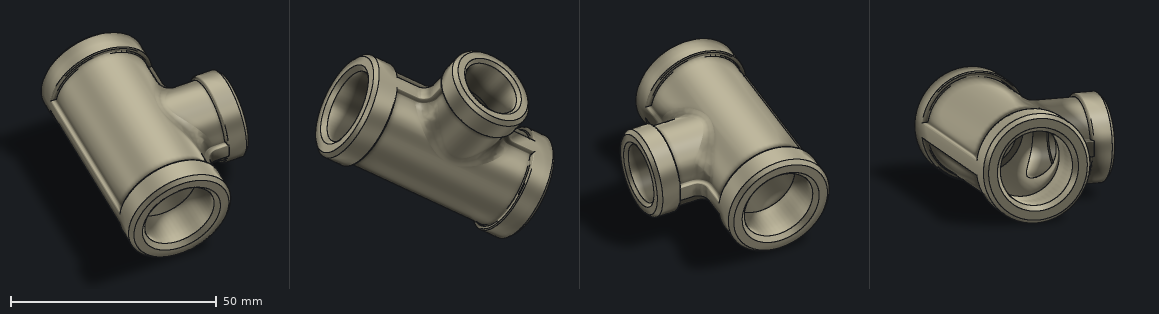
import cadquery as cq
RUN_LENGTH = 53.0
RUN_HALF = RUN_LENGTH / 2
BRANCH_END = 25.5

RUN_COLLAR_DIA = 27.5
RUN_BODY_DIA = 25.0
BRANCH_COLLAR_DIA = 22.5
BRANCH_BODY_DIA = 20.5

RUN_COLLAR_LENGTH = 6.5
BRANCH_COLLAR_LENGTH = 6.0
COLLAR_CHAMFER = 1.0
RUN_COLLAR_INNER = RUN_HALF - RUN_COLLAR_LENGTH
BRANCH_COLLAR_INNER = BRANCH_END - BRANCH_COLLAR_LENGTH

RIB_THICKNESS = 4.0
RIB_HEIGHT = (RUN_COLLAR_DIA - RUN_BODY_DIA) / 2

JUNCTION_RADIUS = 4.0
EDGE_RADIUS = 0.3
ROOT_RADIUS = 0.3
TOUCH_TOLERANCE = 0.001

RUN_MOUTH_DIA = 18.63
RUN_COUNTERSINK_DIA = 20.95
RUN_CHAMBER_DIA = 21.8
BRANCH_MOUTH_DIA = 14.95
BRANCH_COUNTERSINK_DIA = 16.66
BRANCH_CHAMBER_DIA = 17.3
MOUTH_DEPTH = 11.0


def along_x(shape):
    """Turn a shape built along +Z so that it points along +X."""
    return shape.rotate((0, 0, 0), (0, 1, 0), 90)


def along_y(shape):
    """Turn a shape built along +Z so that it points along +Y."""
    return shape.rotate((0, 0, 0), (1, 0, 0), -90)


def cylinder(diameter, length):
    """Cylinder from the origin along +Z."""
    return cq.Workplane("XY").circle(diameter / 2).extrude(length)


def blended_tee(rise, end_overlap):
    """Body outline raised by rise: two crossing cylinders with a rounded junction.

    The ends reach end_overlap past the inner faces of the collars.
    """
    run_dia = RUN_BODY_DIA + 2 * rise
    branch_dia = BRANCH_BODY_DIA + 2 * rise
    run_end = RUN_COLLAR_INNER + end_overlap
    run = along_x(cylinder(run_dia, 2 * run_end)).translate((-run_end, 0, 0))
    tee = run.union(along_y(cylinder(branch_dia, BRANCH_COLLAR_INNER + end_overlap)))
    junction_zone = cq.selectors.BoxSelector(
        (-branch_dia, 0, -run_dia), (branch_dia, RUN_COLLAR_DIA / 2, run_dia)
    )
    junction_edges = tee.edges("(not %CIRCLE) and (not %LINE)").edges(junction_zone)
    return junction_edges.fillet(JUNCTION_RADIUS - rise)


def ribs():
    """Band on the XY plane that follows the tee outline, with rounded outer edges.

    Its ends fill the rounded inner rims of the collars.
    """
    slab_size = 2 * RUN_LENGTH
    slab = cq.Workplane("XY").box(slab_size, slab_size, RIB_THICKNESS)
    band = blended_tee(RIB_HEIGHT, EDGE_RADIUS).intersect(slab)
    return band.faces("<Z or >Z").edges("not (<X or >X or >Y)").fillet(EDGE_RADIUS)


def collar(diameter, pipe_end, length):
    """Collar on the Z axis with a chamfered mouth and a rounded inner rim."""
    radius = diameter / 2
    inner_face = pipe_end - length
    return (
        cq.Workplane("XZ")
        .moveTo(0, inner_face)
        .lineTo(radius - EDGE_RADIUS, inner_face)
        .radiusArc((radius, inner_face + EDGE_RADIUS), -EDGE_RADIUS)
        .lineTo(radius, pipe_end - COLLAR_CHAMFER)
        .lineTo(radius - COLLAR_CHAMFER, pipe_end)
        .lineTo(0, pipe_end)
        .close()
        .revolve(360, (0, 0, 0), (0, 1, 0))
    )


def collars():
    """Two run collars and the branch collar, each in its place."""
    right = along_x(collar(RUN_COLLAR_DIA, RUN_HALF, RUN_COLLAR_LENGTH))
    branch = along_y(collar(BRANCH_COLLAR_DIA, BRANCH_END, BRANCH_COLLAR_LENGTH))
    return right.union(right.mirror("YZ")).union(branch)


def outer_tee():
    """Tee without bores; the roots of ribs and collars are filleted."""
    body = blended_tee(rise=0, end_overlap=0)
    raised = ribs().union(collars())
    tee = body.union(raised)

    def is_root(edge):
        midpoint = cq.Vertex.makeVertex(*edge.positionAt(0.5).toTuple())
        return max(midpoint.distance(body.val()), midpoint.distance(raised.val())) < TOUCH_TOLERANCE

    root_edges = [edge for edge in tee.edges().vals() if is_root(edge)]
    return tee.newObject(root_edges).fillet(ROOT_RADIUS)


def bore(mouth_dia, countersink_dia, chamber_dia, pipe_end):
    """Bore along +Z from the tee centre: wide chamber, narrower mouth, 45 degree countersink."""
    countersink_depth = (countersink_dia - mouth_dia) / 2
    chamber_end = pipe_end - MOUTH_DEPTH
    return (
        cq.Workplane("XZ")
        .moveTo(0, 0)
        .lineTo(chamber_dia / 2, 0)
        .lineTo(chamber_dia / 2, chamber_end)
        .lineTo(mouth_dia / 2, chamber_end)
        .lineTo(mouth_dia / 2, pipe_end - countersink_depth)
        .lineTo(countersink_dia / 2, pipe_end)
        .lineTo(0, pipe_end)
        .close()
        .revolve(360, (0, 0, 0), (0, 1, 0))
    )


def bores():
    """Run bore from both ends and branch bore, meeting at the centre."""
    right = along_x(bore(RUN_MOUTH_DIA, RUN_COUNTERSINK_DIA, RUN_CHAMBER_DIA, RUN_HALF))
    branch = along_y(bore(BRANCH_MOUTH_DIA, BRANCH_COUNTERSINK_DIA, BRANCH_CHAMBER_DIA, BRANCH_END))
    return right.union(right.mirror("YZ")).union(branch)


result = outer_tee().cut(bores())